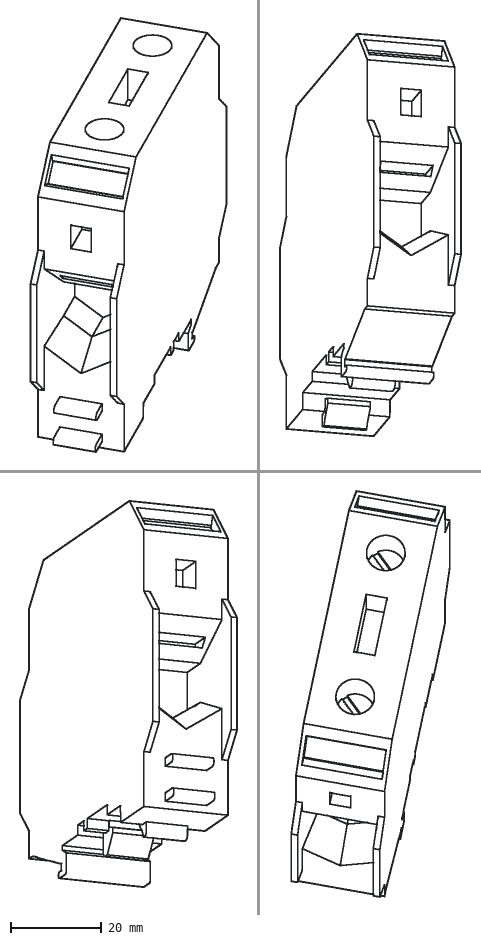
import cadquery as cq
import math

width = 20.0
length = 81.4
height = 75.8

body_half = 35.2
top_half = 26.3
chamfer_drop = 8.95
shoulder_z = height - chamfer_drop
foot_z = 3.2
rail_z = 7.1
recess_z = 9.4

flange_thickness = 1.5
flange_reach = length / 2 - body_half
flange_low_z = 15.8
flange_high_z = 52.75

hook_front = 12.3
hook_back = 15.4
hook_edge_radius = 0.65
tail_radius = 0.77
tail_center_y = 16.4

slider_width = 9.8
embed = 1.6
middle_foot_radius = 1.2
front_foot_radius = 1.0
front_foot_bottom = 0.12
tab_thickness = 1.95
tab_places = [(13.9, 39.7), (5.9, 40.3)]

marker_width = 18.1
marker_length = 7.1
marker_taper_depth = 2.0
marker_inset = 0.9
marker_depth = 2.6

port_depth = 8.1
screw_diameter = 8.55
screw_offset = 17.75
driver_slot_width = 1.4
driver_slot_depth = 0.8
window_width = 4.7
window_length = 14.2

entry_low_z = 54.6
entry_high_z = 60.8

mouth_depth = 8.1
well_depth = 8.1
mouth_half = width / 2 - flange_thickness
well_half = 6.6
mouth_top = 48.0
well_top = mouth_top - mouth_depth
mouth_apex = 22.0
well_apex = 26.6
vee_slope = 0.65
latch_width = 11.9
latch_low_z = 42.65
latch_high_z = 44.6
latch_depth = 9.8


def plate(points, thickness):
    """Closed Y-Z outline extruded evenly about the middle plane."""
    return cq.Workplane("YZ").polyline(points).close().extrude(thickness / 2, both=True)


def on_both_ends(cutter):
    """The cutter at the -Y end together with its mirror image at +Y."""
    return cutter.union(cutter.mirror("XZ"))


def housing():
    outline = [
        (-body_half, foot_z), (-body_half, shoulder_z), (-top_half, height),
        (top_half, height), (body_half, shoulder_z), (body_half, recess_z),
        (32.9, recess_z), (15.9, foot_z), (hook_back, foot_z),
        (hook_back, 0), (hook_front, 0), (hook_front, 4.8),
        (14.65, 6.0), (14.65, rail_z), (5.4, rail_z), (5.4, recess_z),
        (1.55, recess_z), (1.55, rail_z), (-0.6, rail_z), (-0.6, recess_z),
        (-12.6, recess_z), (-12.6, rail_z), (-20.75, rail_z), (-21.0, foot_z),
    ]
    block = plate(outline, width)
    hook_edge = cq.selectors.NearestToPointSelector((0, hook_front, 0))
    block = block.edges(hook_edge).fillet(hook_edge_radius)
    tail = (
        cq.Workplane("YZ")
        .moveTo(hook_front + hook_edge_radius, 0)
        .lineTo(tail_center_y, 0)
        .threePointArc((tail_center_y + tail_radius, tail_radius), (tail_center_y, 2 * tail_radius))
        .lineTo(hook_front + hook_edge_radius, 2 * tail_radius)
        .close()
        .extrude(width / 2, both=True)
    )
    return block.union(tail)


def flanges():
    outline = [
        (-body_half, flange_low_z), (-length / 2, flange_low_z + flange_reach),
        (-length / 2, flange_high_z - flange_reach), (-body_half, flange_high_z),
        (body_half, flange_high_z), (length / 2, flange_high_z - flange_reach),
        (length / 2, flange_low_z + flange_reach), (body_half, flange_low_z),
    ]
    gap = cq.Workplane("XY").box(width - 2 * flange_thickness, 2 * length, 2 * height)
    return plate(outline, width).cut(gap)


def slider_feet():
    """Barbed feet that grip the rail: one in the recess, one at the front."""
    middle = plate([
        (2.9, recess_z + embed), (2.9, 1.8), (0.4, 1.8), (-3.0, 6.0),
        (-3.0, 7.25), (-0.9, 7.8), (-0.9, recess_z + embed),
    ], slider_width)
    middle_edge = cq.selectors.NearestToPointSelector((0, 2.9, 1.8))
    middle = middle.edges(middle_edge).fillet(middle_foot_radius)
    front = plate([
        (-23.5, 6.0), (-23.5, front_foot_bottom), (-21.7, front_foot_bottom), (-21.2, 1.3),
        (-18.5, 4.3), (-18.5, 5.45), (-20.7, 6.0),
    ], slider_width)
    front_edge = cq.selectors.NearestToPointSelector((0, -23.5, front_foot_bottom))
    front = front.edges(front_edge).fillet(front_foot_radius)
    return middle.union(front)


def tab(center_z, tip):
    """Contact tab with a fully rounded tip, rooted inside the housing."""
    root = body_half - embed
    radius = tab_thickness / 2
    return (
        cq.Workplane("YZ")
        .moveTo(-root, center_z - radius)
        .lineTo(radius - tip, center_z - radius)
        .threePointArc((-tip, center_z), (radius - tip, center_z + radius))
        .lineTo(-root, center_z + radius)
        .close()
        .extrude(slider_width / 2, both=True)
    )


def marker_pocket():
    """Pocket square to the sloping corner; its long walls taper, then drop straight."""
    half = marker_length / 2
    floor_half = half - marker_inset
    profile = (
        cq.Workplane("YZ")
        .polyline([
            (-half, 0), (-floor_half, -marker_taper_depth), (-floor_half, -marker_depth),
            (floor_half, -marker_depth), (floor_half, -marker_taper_depth), (half, 0),
        ])
        .close()
        .extrude(marker_width / 2, both=True)
    )
    slope = math.degrees(math.atan2(chamfer_drop, body_half - top_half))
    middle_y = (body_half + top_half) / 2
    middle_z = height - chamfer_drop / 2
    return profile.rotate((0, 0, 0), (1, 0, 0), slope).translate((0, -middle_y, middle_z))


def top_openings():
    window = cq.Workplane("XY").box(window_width, window_length, 2 * port_depth)
    openings = window.translate((0, 0, height))
    for y in (-screw_offset, screw_offset):
        floor = cq.Workplane("XY", origin=(0, y, height - port_depth))
        hole = floor.circle(screw_diameter / 2).extrude(port_depth)
        groove = (
            floor.circle(screw_diameter / 2).extrude(-driver_slot_depth)
            .intersect(
                floor.transformed(rotate=(0, 0, -45))
                .rect(screw_diameter, driver_slot_width)
                .extrude(-driver_slot_depth)
            )
        )
        openings = openings.union(hole).union(groove)
    return openings


def end_box(box_width, low_z, high_z, depth):
    """Rectangular cutter running inwards from the -Y end face."""
    box = cq.Workplane("XY").box(box_width, depth, high_z - low_z)
    return box.translate((0, depth / 2 - body_half, (low_z + high_z) / 2))


def socket_outline(half, top_z, apex_z):
    side_z = apex_z + half * vee_slope
    return [(-half, top_z), (-half, side_z), (0, apex_z), (half, side_z), (half, top_z)]


def socket():
    mouth_outline = socket_outline(mouth_half, mouth_top, mouth_apex)
    well_outline = socket_outline(well_half, well_top, well_apex)
    end_face = cq.Workplane("XZ", origin=(0, -body_half, 0))
    mouth = (
        end_face.polyline(mouth_outline).close()
        .workplane(offset=-mouth_depth)
        .polyline(well_outline).close()
        .loft(ruled=True)
    )
    well = (
        end_face.workplane(offset=-mouth_depth)
        .polyline(well_outline).close()
        .extrude(-well_depth)
    )
    latch_slot = end_box(latch_width, latch_low_z, latch_high_z, latch_depth)
    return mouth.union(well).union(latch_slot)


result = housing().union(flanges()).union(slider_feet())
for tab_z, tab_tip in tab_places:
    result = result.union(tab(tab_z, tab_tip))

wire_entry = end_box(window_width, entry_low_z, entry_high_z, port_depth)
result = result.cut(top_openings())
for end_cutter in (marker_pocket(), wire_entry, socket()):
    result = result.cut(on_both_ends(end_cutter))